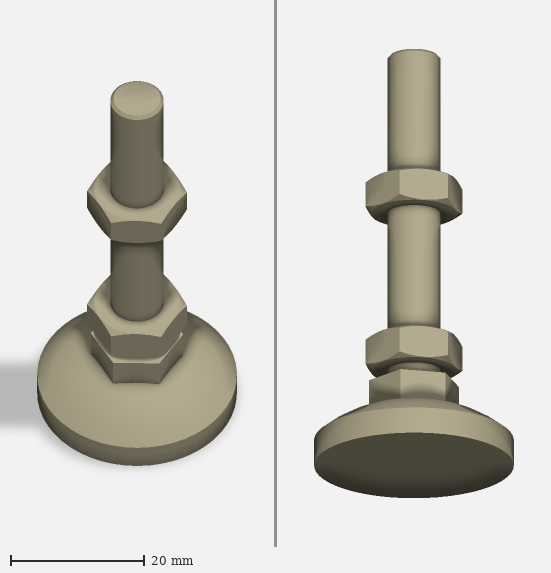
import cadquery as cq
import math


total_height = 65.0

pad_diameter = 30.0
pad_rim_height = 4.0
dome_apex_height = 9.45

neck_across_flats = 12.0
neck_top = 13.0

stud_diameter = 8.0
stud_end_chamfer = 0.5

nut_across_flats = 13.0
nut_thickness = 5.0
nut_face_diameter = 12.8
nut_chamfer_angle = 30.0
nut_bottoms = (15.0, 40.0)


def across_corners(across_flats):
    """Corner-to-corner width of a regular hexagon."""
    return across_flats / math.cos(math.radians(30.0))


def hex_prism(across_flats, bottom, height):
    """Upright hexagonal prism with two corners on the X axis."""
    return (
        cq.Workplane("XY")
        .workplane(offset=bottom)
        .polygon(6, across_corners(across_flats))
        .extrude(height)
    )


def make_pad():
    """Cylindrical rim under a spherical dome centred on the axis."""
    rim_radius = pad_diameter / 2
    dome_rise = dome_apex_height - pad_rim_height
    sphere_radius = (rim_radius**2 + dome_rise**2) / (2 * dome_rise)
    mid_radius = rim_radius / 2
    mid_drop = sphere_radius - math.sqrt(sphere_radius**2 - mid_radius**2)
    return (
        cq.Workplane("XZ")
        .lineTo(rim_radius, 0)
        .lineTo(rim_radius, pad_rim_height)
        .threePointArc((mid_radius, dome_apex_height - mid_drop), (0, dome_apex_height))
        .close()
        .revolve(360, (0, 0), (0, 1))
    )


def make_neck():
    """Hexagonal neck, sunk through the dome down to the rim level."""
    return hex_prism(neck_across_flats, pad_rim_height, neck_top - pad_rim_height)


def make_stud():
    """Plain round stud with a chamfered free end."""
    return (
        cq.Workplane("XY")
        .workplane(offset=pad_rim_height)
        .circle(stud_diameter / 2)
        .extrude(total_height - pad_rim_height)
        .faces(">Z")
        .chamfer(stud_end_chamfer)
    )


def make_nut(bottom):
    """Hexagonal nut with its corners turned to a cone on both faces."""
    top = bottom + nut_thickness
    face_radius = nut_face_diameter / 2
    corner_radius = across_corners(nut_across_flats) / 2
    cone_height = (corner_radius - face_radius) * math.tan(math.radians(nut_chamfer_angle))
    turned_envelope = (
        cq.Workplane("XZ")
        .moveTo(0, bottom)
        .lineTo(face_radius, bottom)
        .lineTo(corner_radius, bottom + cone_height)
        .lineTo(corner_radius, top - cone_height)
        .lineTo(face_radius, top)
        .lineTo(0, top)
        .close()
        .revolve(360, (0, 0), (0, 1))
    )
    return hex_prism(nut_across_flats, bottom, nut_thickness).intersect(turned_envelope)


result = make_pad().union(make_neck()).union(make_stud())
for nut_bottom in nut_bottoms:
    result = result.union(make_nut(nut_bottom))